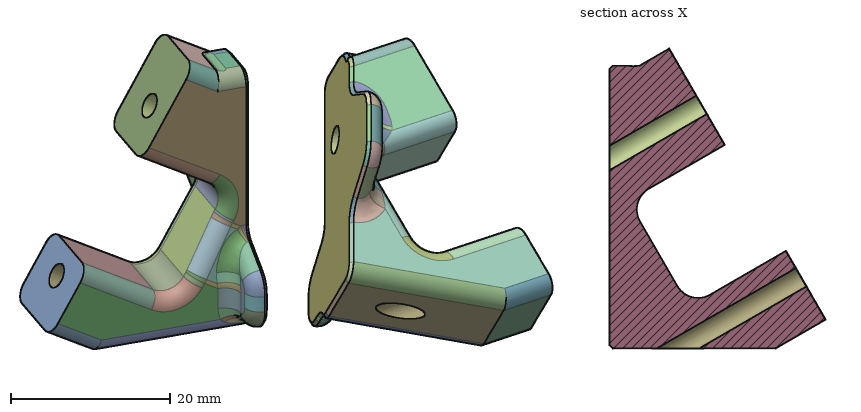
import cadquery as cq
import math


ARM_TILT = 30.0
ARM_REACH = 25.34
GAP_DEPTH = 14.0
UPPER_ARM_HEIGHT = 14.0
LOWER_ARM_HEIGHT = 10.0
GAP_HEIGHT = 15.33
LOWER_ARM_BASE = -10.45
GAP_RADIUS = 3.0

LEFT_X = -6.15
UPPER_RIGHT_X = 4.77
LOWER_RIGHT_X = 5.86
TAPER_TOP = 11.3
TAPER_BOTTOM = 3.5
TAPER_RADIUS = 4.0
BODY_EDGE_RADIUS = 2.0

HOLE_DIAMETER = 3.2
HOLE_SPACING = 25.0
LOWER_HOLE_OFFSET = 6.15

LUG_THICKNESS = 2.45
LUG_CORNER_RADIUS = 3.4
LUG_EDGE_RADIUS = 2.0
LUG_SLOPE = 30.0
LEFT_BLEND_RADIUS = 3.0
RIGHT_BLEND_RADIUS = 2.2
LUG_ROOT_X = 0.0
BACK_CHAMFER = 0.44

LEFT_LUG_TIP_X = -13.24
LEFT_LUG_MID_Z = 18.46
LEFT_LUG_TIP_HEIGHT = 9.4

RIGHT_LUG_TIP_X = 11.38
RIGHT_LUG_BOTTOM_Z = 1.6
RIGHT_LUG_TIP_TOP_Z = 9.05

TOP_LUG_Z = 35.53
TOP_LUG_LEFT_X = -3.4
TOP_LUG_CORNER_RADIUS = 2.0
TOP_BLEND_RADIUS = 2.5

LOWER_ARM_TOP = LOWER_ARM_BASE + LOWER_ARM_HEIGHT
UPPER_ARM_BASE = LOWER_ARM_TOP + GAP_HEIGHT
UPPER_ARM_TOP = UPPER_ARM_BASE + UPPER_ARM_HEIGHT
GAP_FLOOR = ARM_REACH - GAP_DEPTH

BEYOND = 60.0
TOUCHING = 1e-3

TILT_COS = math.cos(math.radians(ARM_TILT))
TILT_SIN = math.sin(math.radians(ARM_TILT))
ARM_AXIS = cq.Vector(0, -TILT_COS, TILT_SIN)
SLOPE_TAN = math.tan(math.radians(LUG_SLOPE))


def arm_point(along, across):
    """(Y, Z) of a point given along and across the arm axis."""
    return (across * TILT_SIN - along * TILT_COS, along * TILT_SIN + across * TILT_COS)


def edge_near(x, along, across):
    y, z = arm_point(along, across)
    return cq.selectors.NearestToPointSelector((x, y, z))


def make_body():
    heel_along = -LOWER_ARM_BASE * TILT_COS / TILT_SIN
    shoulder_along = UPPER_ARM_TOP * TILT_SIN / TILT_COS
    body = (
        cq.Workplane("YZ", origin=(LEFT_X, 0, 0))
        .polyline([
            (0, 0),
            arm_point(heel_along, LOWER_ARM_BASE),
            arm_point(ARM_REACH, LOWER_ARM_BASE),
            arm_point(ARM_REACH, LOWER_ARM_TOP),
            arm_point(GAP_FLOOR, LOWER_ARM_TOP),
            arm_point(GAP_FLOOR, UPPER_ARM_BASE),
            arm_point(ARM_REACH, UPPER_ARM_BASE),
            arm_point(ARM_REACH, UPPER_ARM_TOP),
            arm_point(shoulder_along, UPPER_ARM_TOP),
        ])
        .close()
        .extrude(LOWER_RIGHT_X - LEFT_X)
    )
    for across in (LOWER_ARM_TOP, UPPER_ARM_BASE):
        body = body.edges(edge_near(0, GAP_FLOOR, across)).fillet(GAP_RADIUS)
    body = body.cut(upper_right_relief())
    for x, across in ((UPPER_RIGHT_X, TAPER_TOP), (LOWER_RIGHT_X, TAPER_BOTTOM)):
        body = body.edges(edge_near(x, GAP_FLOOR / 2, across)).fillet(TAPER_RADIUS)
    return round_side_edges(body)


def upper_right_relief():
    """Material taken off so that the part gets narrower towards the upper arm on the +X side."""
    across_arm = cq.Plane(origin=(0, 0, 0), xDir=(1, 0, 0), normal=ARM_AXIS)
    return (
        cq.Workplane(across_arm)
        .polyline([
            (LOWER_RIGHT_X, TAPER_BOTTOM),
            (UPPER_RIGHT_X, TAPER_TOP),
            (UPPER_RIGHT_X, BEYOND),
            (BEYOND, BEYOND),
            (BEYOND, TAPER_BOTTOM),
        ])
        .close()
        .extrude(BEYOND, both=True)
    )


def round_side_edges(body):
    """Round the long edges of both sides, but not the rims of the arm ends or of the back."""
    side_faces = [face for face in body.faces().vals() if abs(face.normalAt().x) > TILT_COS]
    side_edges = [edge for face in side_faces for edge in face.Edges()]

    def is_long_edge(edge):
        middle = edge.positionAt(0.5)
        is_seam = sum(edge.isSame(other) for other in side_edges) > 1
        on_back = middle.y > -TOUCHING
        on_arm_end = middle.dot(ARM_AXIS) > ARM_REACH - TOUCHING
        return not (is_seam or on_back or on_arm_end)

    long_edges = [edge for edge in side_edges if is_long_edge(edge)]
    return body.newObject(long_edges).fillet(BODY_EDGE_RADIUS)


def lug_prism(points):
    """A plate on the back plane with the given (X, Z) outline."""
    return cq.Workplane("XZ").polyline(points).close().extrude(LUG_THICKNESS)


def make_left_lug():
    half_tip = LEFT_LUG_TIP_HEIGHT / 2
    half_root = half_tip + (LUG_ROOT_X - LEFT_LUG_TIP_X) * SLOPE_TAN
    lug = lug_prism([
        (LUG_ROOT_X, LEFT_LUG_MID_Z - half_root),
        (LUG_ROOT_X, LEFT_LUG_MID_Z + half_root),
        (LEFT_LUG_TIP_X, LEFT_LUG_MID_Z + half_tip),
        (LEFT_LUG_TIP_X, LEFT_LUG_MID_Z - half_tip),
    ])
    lug = lug.edges("|Y and <X").fillet(LUG_CORNER_RADIUS)
    return lug.faces("<Y").edges("not >X").fillet(LUG_EDGE_RADIUS)


def make_right_lug():
    root_top = RIGHT_LUG_TIP_TOP_Z + (RIGHT_LUG_TIP_X - LUG_ROOT_X) * SLOPE_TAN
    lug = lug_prism([
        (LUG_ROOT_X, RIGHT_LUG_BOTTOM_Z),
        (RIGHT_LUG_TIP_X, RIGHT_LUG_BOTTOM_Z),
        (RIGHT_LUG_TIP_X, RIGHT_LUG_TIP_TOP_Z),
        (LUG_ROOT_X, root_top),
    ])
    lug = lug.edges("|Y and >X").fillet(LUG_CORNER_RADIUS)
    return lug.faces("<Y").edges("not <X").fillet(LUG_EDGE_RADIUS)


def make_top_lug():
    """Lug behind the upper arm; its front runs down into the arm as a hollow."""
    left_bottom_z = TOP_LUG_Z - (TOP_LUG_LEFT_X - LEFT_X) / SLOPE_TAN
    edge_along = LUG_THICKNESS * TILT_COS + TOP_LUG_Z * TILT_SIN
    edge_height = TOP_LUG_Z * TILT_COS - LUG_THICKNESS * TILT_SIN - UPPER_ARM_TOP
    center_height = TOP_BLEND_RADIUS - edge_height
    end_along = edge_along + math.sqrt(TOP_BLEND_RADIUS**2 - center_height**2)
    end_angle = math.acos(center_height / TOP_BLEND_RADIUS) / 2
    middle = arm_point(
        end_along - TOP_BLEND_RADIUS * math.sin(end_angle),
        UPPER_ARM_TOP + TOP_BLEND_RADIUS * (1 - math.cos(end_angle)),
    )
    end_y, end_z = arm_point(end_along, UPPER_ARM_TOP)
    side_shape = (
        cq.Workplane("YZ")
        .moveTo(0, left_bottom_z)
        .lineTo(0, TOP_LUG_Z)
        .lineTo(-LUG_THICKNESS, TOP_LUG_Z)
        .threePointArc(middle, (end_y, end_z))
        .lineTo(end_y, left_bottom_z)
        .close()
        .extrude(BEYOND, both=True)
    )
    outline = (
        cq.Workplane("XZ")
        .polyline([
            (TOP_LUG_LEFT_X, TOP_LUG_Z),
            (UPPER_RIGHT_X, TOP_LUG_Z),
            (UPPER_RIGHT_X, left_bottom_z),
            (LEFT_X, left_bottom_z),
        ])
        .close()
        .extrude(-end_y)
        .edges("|Y and >Z and >X")
        .fillet(TOP_LUG_CORNER_RADIUS)
        .edges(cq.selectors.NearestToPointSelector((TOP_LUG_LEFT_X, end_y / 2, TOP_LUG_Z)))
        .fillet(LUG_CORNER_RADIUS)
    )
    return outline.intersect(side_shape).faces(">Y").edges("not <Z").chamfer(BACK_CHAMFER)


def join_lug(body, lug, blend_radius):
    """Add a lug and round the inside corner all along where it meets the body."""
    lug_skin = cq.Compound.makeCompound(lug.faces("not >Y").vals())
    body_skin = cq.Compound.makeCompound(body.faces().vals())
    joined = body.union(lug)

    def is_corner(edge):
        middle = edge.positionAt(0.45)
        point = cq.Vertex.makeVertex(*middle.toTuple())
        touches_both = all(point.distance(skin) < TOUCHING for skin in (lug_skin, body_skin))
        return touches_both and middle.y < -TOUCHING

    return joined.edges().filter(is_corner).fillet(blend_radius)


def make_hole(offset):
    """Through hole along the arm axis, at the given place across it."""
    y, z = arm_point(ARM_REACH, offset)
    end_plane = cq.Plane(origin=(0, y, z), xDir=(1, 0, 0), normal=ARM_AXIS)
    return cq.Workplane(end_plane).circle(HOLE_DIAMETER / 2).extrude(-BEYOND)


result = make_body()
result = join_lug(result, make_left_lug(), LEFT_BLEND_RADIUS)
result = join_lug(result, make_right_lug(), RIGHT_BLEND_RADIUS)
result = result.faces(">Y").edges().chamfer(BACK_CHAMFER)
result = result.union(make_top_lug())

lower_hole_offset = LOWER_ARM_BASE + LOWER_HOLE_OFFSET
for hole_offset in (lower_hole_offset, lower_hole_offset + HOLE_SPACING):
    result = result.cut(make_hole(hole_offset))